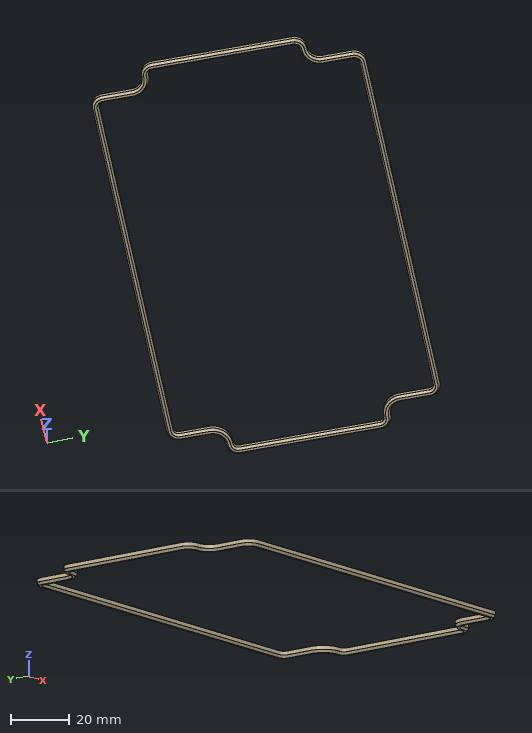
import cadquery as cq

length = 156.0
width = 96.0
height = 2.3

notch_length = 9.2
notch_width = 19.0
corner_radius = 4.4

top_width = 2.7
draft_inset = 0.12
bevel_inset = 0.73
bevel_height = 1.0


def outer_edge():
    """Closed outline at Z = 0: a rectangle with notched, rounded corners."""
    long_bar = cq.Workplane("XY").rect(length, width - 2 * notch_width).extrude(height)
    wide_bar = cq.Workplane("XY").rect(length - 2 * notch_length, width).extrude(height)
    plate = long_bar.union(wide_bar).edges("|Z").fillet(corner_radius)
    return plate.faces("<Z").wires().val()


def band_section():
    """Closed cross-section, symmetric about the centreline of the band's long side at -Y."""
    half_top = top_width / 2
    half_knee = half_top - draft_inset
    half_foot = half_knee - bevel_inset
    half_section = [(half_foot, 0), (half_knee, bevel_height), (half_top, height)]
    mirrored = [(-across, up) for across, up in reversed(half_section)]
    centre = cq.Plane(origin=(0, (top_width - width) / 2, 0), xDir=(0, 1, 0), normal=(1, 0, 0))
    return cq.Workplane(centre).polyline(half_section + mirrored).close()


centreline = cq.Workplane("XY").add(outer_edge()).toPending().offset2D(-top_width / 2)
result = band_section().sweep(centreline)